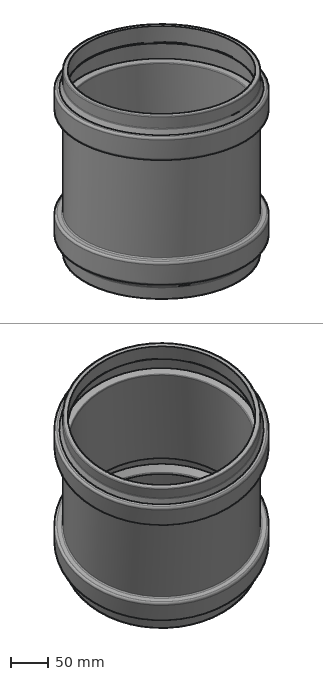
import math

import cadquery as cq

bead_diameter = 288.5
sleeve_length = 278.5

body_radius = 266.0 / 2
neck_radius = 265.8 / 2
bead_radius = bead_diameter / 2
shoulder_radius = 274.5 / 2

bore_radius = 251.7 / 2
lip_radius = 252.2 / 2
groove_radius = 274.5 / 2

shoulder_start = 18.8
bead_start = 26.5
bead_end = 62.3
lip_end = 26.0
groove_start = 32.3
groove_end = 55.5

bead_rounding = 3.5
rim_rounding = 1.2
bead_root_rounding = 1.7
ledge_rounding = 1.2
shoulder_root_rounding = 3.0
lip_rounding = 3.0

half_length = sleeve_length / 2


def height(depth):
    """Height above the middle plane of a point at a depth below the rim."""
    return half_length - depth


def quarter_arc(outline, center, radius, start_angle, turn):
    """Draw a line to a quarter arc, then the arc itself; angles are in degrees."""
    points = []
    for angle in (start_angle, start_angle + turn / 2, start_angle + turn):
        direction = math.radians(angle)
        across = center[0] + radius * math.cos(direction)
        up = center[1] + radius * math.sin(direction)
        points.append((across, up))
    return outline.lineTo(*points[0]).threePointArc(points[1], points[2])


def round_circle(solid, depth, radius):
    """Round the circular edge that lies at the given depth below the rim."""
    center = (0, 0, height(depth))
    return solid.edges(cq.selectors.NearestToPointSelector(center)).fillet(radius)


def make_half_sleeve():
    """Upper half of the sleeve, revolved from its (radius, height) wall section."""
    wall = cq.Workplane("XZ").moveTo(lip_radius, half_length)

    rim_center = (neck_radius - rim_rounding, height(rim_rounding))
    wall = quarter_arc(wall, rim_center, rim_rounding, 90, -90)
    wall = wall.lineTo(neck_radius, height(shoulder_start))
    wall = wall.lineTo(shoulder_radius, height(bead_start))
    bead_arc_radius = bead_radius - bead_rounding
    wall = quarter_arc(wall, (bead_arc_radius, height(bead_start + bead_rounding)), bead_rounding, 90, -90)
    wall = quarter_arc(wall, (bead_arc_radius, height(bead_end - bead_rounding)), bead_rounding, 0, -90)
    root_center = (body_radius + bead_root_rounding, height(bead_end + bead_root_rounding))
    wall = quarter_arc(wall, root_center, bead_root_rounding, 90, 90)
    wall = wall.lineTo(body_radius, 0)

    wall = wall.lineTo(bore_radius, 0)
    ledge_center = (bore_radius + ledge_rounding, height(groove_end + ledge_rounding))
    wall = quarter_arc(wall, ledge_center, ledge_rounding, 180, -90)
    wall = wall.lineTo(groove_radius, height(groove_end))
    wall = wall.lineTo(groove_radius, height(groove_start))
    wall = wall.lineTo(lip_radius, height(lip_end))
    half_sleeve = wall.close().revolve(360, (0, 0), (0, 1))

    half_sleeve = round_circle(half_sleeve, shoulder_start, shoulder_root_rounding)
    return round_circle(half_sleeve, lip_end, lip_rounding)


upper_half = make_half_sleeve()
lower_half = upper_half.rotate((0, 0, 0), (1, 0, 0), 180)
result = upper_half.union(lower_half).clean()